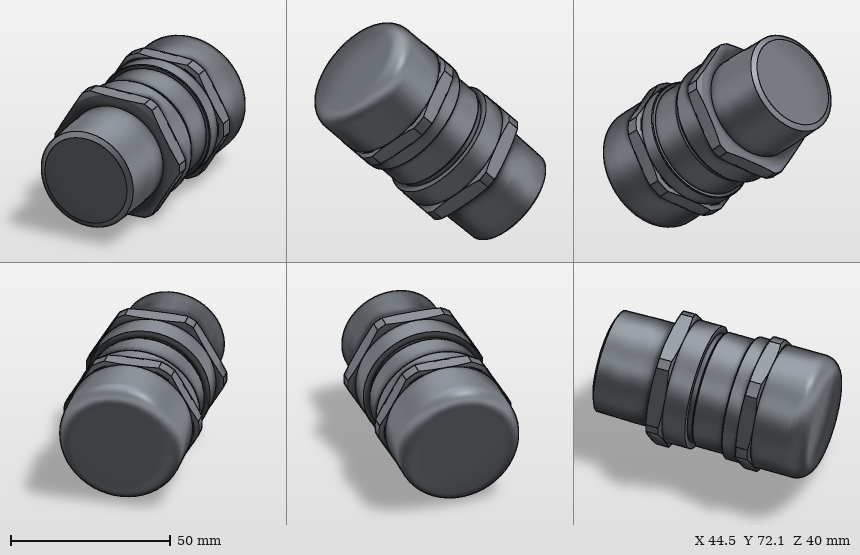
import cadquery as cq
import math

total_length = 72.1
across_flats = 40.0

thread_radius = 16.7
thread_tip_radius = 16.45
end_face_radius = 14.65
collar_radius = 19.9
neck_radius = 17.75
body_radius = 18.6
cap_radius = collar_radius

tip_chamfer_length = 0.9
taper_end = 12.3
body_hex_start = 20.0
body_hex_end = 25.0
collar_end = 32.7
body_start = 34.4
cap_start = 44.85
cap_hex_start = 49.8
cap_hex_end = 54.7

body_chamfer = 0.5
cap_chamfer = 0.3
dome_radius = 5.4

body_hex_corner_radius = 22.245
cap_hex_corner_radius = 21.85
hex_face_radius = 20.3
hex_chamfer_length = 0.5


def revolved(profile):
    """Revolve a closed radius/Y profile around the Y axis."""
    return profile.close().revolve(360, (0, 0, 0), (0, 1, 0))


def round_body():
    dome_start = total_length - dome_radius
    dome_center_radius = cap_radius - dome_radius
    diagonal = dome_radius * math.sqrt(0.5)
    profile = (
        cq.Workplane("XY")
        .lineTo(end_face_radius, 0)
        .lineTo(thread_tip_radius, tip_chamfer_length)
        .lineTo(thread_radius, taper_end)
        .lineTo(thread_radius, body_hex_start)
        .lineTo(collar_radius, body_hex_start)
        .lineTo(collar_radius, collar_end)
        .lineTo(neck_radius, collar_end)
        .lineTo(neck_radius, body_start)
        .lineTo(body_radius - body_chamfer, body_start)
        .lineTo(body_radius, body_start + body_chamfer)
        .lineTo(body_radius, cap_start)
        .lineTo(cap_radius - cap_chamfer, cap_start)
        .lineTo(cap_radius, cap_start + cap_chamfer)
        .lineTo(cap_radius, dome_start)
        .threePointArc(
            (dome_center_radius + diagonal, dome_start + diagonal),
            (dome_center_radius, total_length),
        )
        .lineTo(0, total_length)
    )
    return revolved(profile)


def chamfered_hexagon(start, end, corner_radius):
    """Hexagon with flats facing +/-Z, its corners turned round and chamfered at both ends."""
    prism = (
        cq.Workplane("XZ", origin=(0, start, 0))
        .polygon(6, across_flats / math.cos(math.pi / 6))
        .extrude(start - end)
    )
    turned_envelope = revolved(
        cq.Workplane("XY")
        .moveTo(0, start)
        .lineTo(hex_face_radius, start)
        .lineTo(corner_radius, start + hex_chamfer_length)
        .lineTo(corner_radius, end - hex_chamfer_length)
        .lineTo(hex_face_radius, end)
        .lineTo(0, end)
    )
    return prism.intersect(turned_envelope)


body_hexagon = chamfered_hexagon(body_hex_start, body_hex_end, body_hex_corner_radius)
cap_hexagon = chamfered_hexagon(cap_hex_start, cap_hex_end, cap_hex_corner_radius)
result = round_body().union(body_hexagon).union(cap_hexagon)